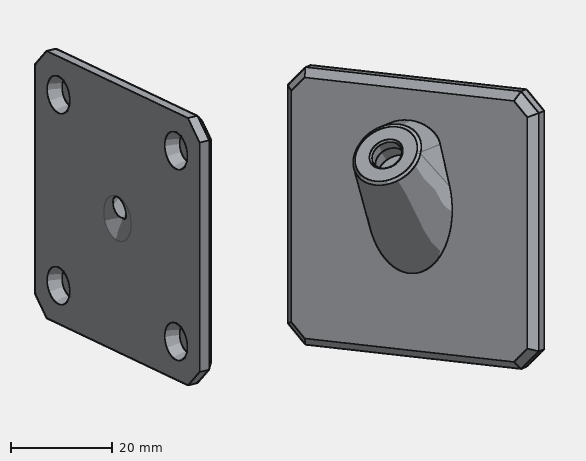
import cadquery as cq
import math

side = 56.0
thickness = 4.0
corner_cut = 4.0
edge_chamfer = 1.7

pocket_pitch = 40.0
pocket_mouth_diameter = 7.7
pocket_floor_diameter = 6.05
pocket_depth = 3.0

tilt = math.radians(45)
draft = math.radians(10)
face_y = 13.7
face_z = 15.1
rim_radius = 7.0
rim_chamfer = 0.5
boss_length = 33.6

bore_diameter = 4.2
cavity_diameter = 8.4
cavity_floor_depth = 6.55
entry_diameter = 6.2
entry_depth = 2.45
mouth_chamfer = 0.4
bore_length = 22.4
recess_diameter = 9.3
recess_depth = 1.4

axis = cq.Vector(0, math.cos(tilt), math.sin(tilt))
face_center = cq.Vector(0, face_y, face_z)


def round_along(start, direction, length, start_radius, end_radius):
    """Solid cylinder or cone frustum along a direction."""
    if start_radius == end_radius:
        return cq.Workplane(obj=cq.Solid.makeCylinder(start_radius, length, start, direction))
    return cq.Workplane(obj=cq.Solid.makeCone(start_radius, end_radius, length, start, direction))


def make_plate():
    plate = cq.Workplane("XY").box(side, thickness, side, centered=(True, False, True))
    plate = plate.edges("|Y").chamfer(corner_cut)
    return plate.faces(">Y").edges().chamfer(edge_chamfer)


def make_drafted_cone():
    base_radius = rim_radius + boss_length * math.tan(draft)
    return round_along(face_center, axis * -1, boss_length, rim_radius, base_radius)


def make_upper_sweep():
    """The round end face carried straight back to the plate."""
    disc = cq.Wire.makeCircle(rim_radius, face_center, axis)
    return cq.Workplane(obj=cq.Solid.extrudeLinear(disc, [], cq.Vector(0, -face_y, 0)))


def make_side_webs():
    """Flat flanks tangent to both the cone and the upper sweep."""
    tangent_angle = math.asin(math.tan(draft) / math.tan(tilt))
    rim_x = rim_radius * math.cos(tangent_angle)
    rim_rise = rim_radius * math.sin(tangent_angle)
    rim_y = face_y - rim_rise * math.sin(tilt)
    rim_z = face_z + rim_rise * math.cos(tilt)
    spread_x = math.tan(draft) * math.cos(tangent_angle)
    spread_u = math.tan(draft) * math.sin(tangent_angle)
    step_y = -math.cos(tilt) - spread_u * math.sin(tilt)
    step_z = -math.sin(tilt) + spread_u * math.cos(tilt)
    run = -rim_y / step_y
    foot_x = rim_x + run * spread_x
    foot_z = rim_z + run * step_z
    section = [(-rim_x, rim_z), (rim_x, rim_z), (foot_x, foot_z), (-foot_x, foot_z)]
    flanks = cq.Workplane("XZ").polyline(section).close().extrude(-rim_y)
    profile = [(rim_y, rim_z), (0, rim_z), (0, foot_z)]
    wedge = cq.Workplane("YZ").polyline(profile).close().extrude(foot_x, both=True)
    return flanks.intersect(wedge)


def make_boss():
    boss = make_drafted_cone().union(make_upper_sweep()).union(make_side_webs())
    room = cq.Workplane("XY").box(side, side, side, centered=(True, False, True))
    boss = boss.intersect(room)
    end_face = boss.faces(cq.selectors.DirectionMinMaxSelector(axis))
    return end_face.edges().chamfer(rim_chamfer)


def make_bore():
    """Chamfered entry, wider cavity behind it, and the narrow bore running on."""
    bore_radius = bore_diameter / 2
    cavity_radius = cavity_diameter / 2
    entry_radius = entry_diameter / 2
    inward = axis * -1
    bore = round_along(face_center, inward, bore_length, bore_radius, bore_radius)
    cavity_start = face_center + inward * entry_depth
    cavity_length = cavity_floor_depth - entry_depth
    cavity = round_along(cavity_start, inward, cavity_length, cavity_radius, cavity_radius)
    entry = round_along(face_center, inward, entry_depth, entry_radius, entry_radius)
    mouth = round_along(face_center, inward, mouth_chamfer, entry_radius + mouth_chamfer, entry_radius)
    return bore.union(cavity).union(entry).union(mouth)


def make_recess():
    return round_along(cq.Vector(0, 0, 0), cq.Vector(0, 1, 0), recess_depth, recess_diameter / 2, 0)


result = make_plate().union(make_boss()).cut(make_bore()).cut(make_recess())

for x_side in (-1, 1):
    for z_side in (-1, 1):
        pocket_center = cq.Vector(x_side * pocket_pitch / 2, 0, z_side * pocket_pitch / 2)
        pocket = round_along(
            pocket_center,
            cq.Vector(0, 1, 0),
            pocket_depth,
            pocket_mouth_diameter / 2,
            pocket_floor_diameter / 2,
        )
        result = result.cut(pocket)